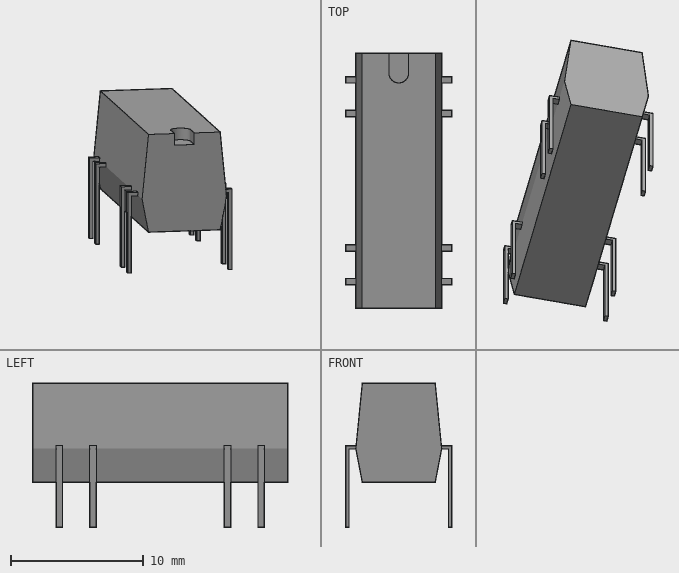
import cadquery as cq

body_length = 19.3
total_width = 8.03
total_height = 10.9

flat_width = 5.52
waist_width = 6.5
body_bottom = 3.4
waist_height = 5.95

notch_width = 1.5
notch_length = 2.25
notch_depth = 0.89

lead_thickness = 0.27
lead_width = 0.5
lead_top = 6.18
outer_lead_y = 7.62
lead_pitch = outer_lead_y / 3
lead_positions = [-3 * lead_pitch, -2 * lead_pitch, 2 * lead_pitch, 3 * lead_pitch]


def make_body():
    """Prism along Y, widest at the waist where the leads come out."""
    half_flat = flat_width / 2
    half_waist = waist_width / 2
    section = [
        (-half_flat, body_bottom),
        (half_flat, body_bottom),
        (half_waist, waist_height),
        (half_flat, total_height),
        (-half_flat, total_height),
        (-half_waist, waist_height),
    ]
    return cq.Workplane("XZ").polyline(section).close().extrude(body_length / 2, both=True)


def make_notch():
    """Round-ended slot, open at the +Y end of the body."""
    radius = notch_width / 2
    end_y = body_length / 2
    arc_start_y = end_y - notch_length + radius
    return (
        cq.Workplane("XY", origin=(0, 0, total_height))
        .moveTo(-radius, end_y)
        .lineTo(-radius, arc_start_y)
        .threePointArc((0, end_y - notch_length), (radius, arc_start_y))
        .lineTo(radius, end_y)
        .close()
        .extrude(-notch_depth)
    )


def make_lead_pair(y):
    """Two opposite leads, joined by a strip that runs through the body."""
    half_width = total_width / 2
    inner_half_width = half_width - lead_thickness
    strip_bottom = lead_top - lead_thickness
    section = [
        (-half_width, 0),
        (-half_width, lead_top),
        (half_width, lead_top),
        (half_width, 0),
        (inner_half_width, 0),
        (inner_half_width, strip_bottom),
        (-inner_half_width, strip_bottom),
        (-inner_half_width, 0),
    ]
    return (
        cq.Workplane("XZ", origin=(0, y, 0))
        .polyline(section)
        .close()
        .extrude(lead_width / 2, both=True)
    )


result = make_body().cut(make_notch())
for lead_y in lead_positions:
    result = result.union(make_lead_pair(lead_y))